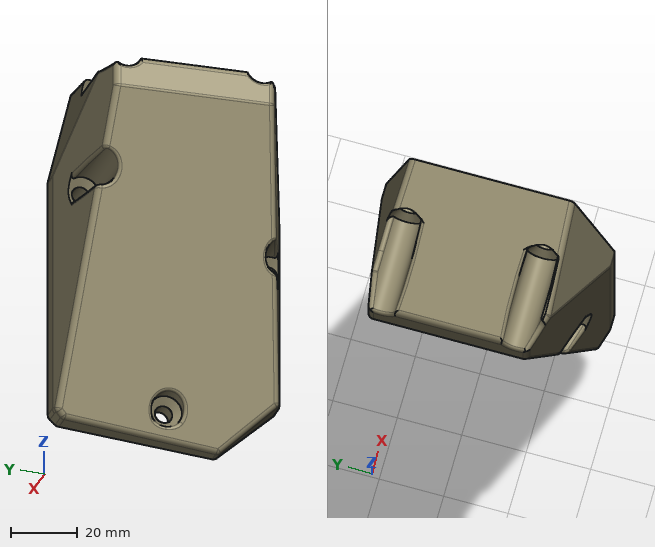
import cadquery as cq
import math

depth = 46.0
width = 70.9
height = 115.3
rim = 5.0
edge_radius = 2.0

top_slope = math.radians(10)
left_taper = math.radians(10)
right_taper = math.radians(19.1)
nose_bottom_z = 97.2

bottom_corner = (18.8, -0.06)
bottom_left_cut_start = (68.2, 4.3)
bottom_left_cut_end = (width, 6.8)
left_shoulder = (width, 84.4)
top_left_corner = (63.4, height)
top_right_corner = (12.8, height)
right_shoulder = (0, 78.2)
bottom_right_corner = (0, 17.2)

hole_diameter = 5.4
bore_diameter = 10.0
rim_radius = 1.0
cone_depth = (bore_diameter - hole_diameter) / 2
bore_floor = 16.1
low_bore_floor = 6.9

upper_hole_z = 109.2
upper_left_hole = (60.0, upper_hole_z, bore_floor)
upper_right_hole = (17.6, upper_hole_z, bore_floor)
face_holes = [
    (64.8, 74.7, bore_floor),
    (6.2, 56.4, bore_floor),
    (36.1, 10.5, low_bore_floor),
]

overshoot = 1.2
tolerance = 0.001


def make_sharp_body():
    """Common volume of the outlines along X, Y and Z, before any edge is rounded."""
    outline = (
        cq.Workplane("YZ")
        .polyline([
            bottom_corner,
            bottom_right_corner,
            right_shoulder,
            top_right_corner,
            top_left_corner,
            left_shoulder,
            bottom_left_cut_end,
            bottom_left_cut_start,
        ])
        .close()
        .extrude(-depth)
    )
    side_profile = (
        cq.Workplane("XZ")
        .polyline([
            (0, bottom_corner[1]),
            (-rim, bottom_corner[1]),
            (-depth, nose_bottom_z),
            (-depth, height - depth * math.tan(top_slope)),
            (0, height),
        ])
        .close()
        .extrude(-width)
    )
    taper_length = depth - rim
    plan_profile = (
        cq.Workplane("XY")
        .polyline([
            (0, 0),
            (-rim, 0),
            (-depth, taper_length * math.tan(right_taper)),
            (-depth, width - taper_length * math.tan(left_taper)),
            (-rim, width),
            (0, width),
        ])
        .close()
        .extrude(height + overshoot, both=True)
    )
    return outline.intersect(side_profile).intersect(plan_profile)


def make_hole_cutter(y, z, floor):
    """Screw hole, conical seat and bore as one revolved cutter."""
    hole_radius = hole_diameter / 2
    bore_radius = bore_diameter / 2
    return (
        cq.Workplane("XZ")
        .polyline([
            (overshoot, 0),
            (overshoot, -hole_radius),
            (cone_depth - floor, -hole_radius),
            (-floor, -bore_radius),
            (-depth - overshoot, -bore_radius),
            (-depth - overshoot, 0),
        ])
        .close()
        .revolve(360, (0, 0, 0), (1, 0, 0))
        .translate((0, y, z))
    )


def is_rim_edge(edge, y, z, floor):
    """True for an edge where the bore wall meets the outer faces."""
    bore_radius = bore_diameter / 2
    points = [edge.positionAt(t) for t in (0, 0.5, 1)]
    on_wall = all(abs(math.hypot(p.y - y, p.z - z) - bore_radius) < tolerance for p in points)
    middle = points[1]
    above_floor = middle.x < -floor - tolerance
    on_seam = middle.z < z - bore_radius + tolerance
    return on_wall and above_floor and not on_seam


def drill(body, hole):
    """Cut one screw hole and round the rim of its bore."""
    drilled = body.cut(make_hole_cutter(*hole))
    rim_edges = [edge for edge in drilled.edges().vals() if is_rim_edge(edge, *hole)]
    return drilled.newObject(rim_edges).fillet(rim_radius)


sharp_body = make_sharp_body()
outer_edges = [edge for edge in sharp_body.edges().vals() if edge.Center().x < -tolerance]
result = sharp_body.newObject(outer_edges).fillet(edge_radius)

for hole in face_holes:
    result = drill(result, hole)

upper_left_ridge = cq.selectors.NearestToPointSelector(
    (-depth / 2, top_left_corner[0], height)
)
left_copy = drill(sharp_body.edges(upper_left_ridge).fillet(edge_radius), upper_left_hole)
right_copy = drill(sharp_body, upper_right_hole)
result = result.intersect(left_copy).intersect(right_copy)